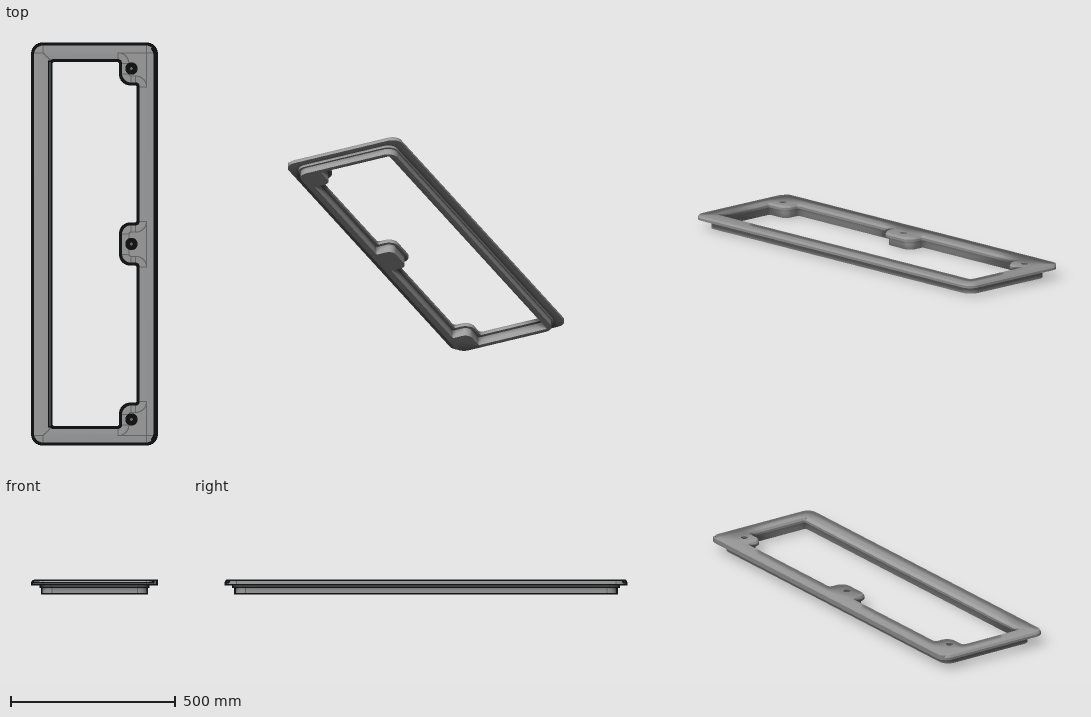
import cadquery as cq
import math

width = 380.0
length = 1219.0
height = 41.0

rim_thickness = 15.0
rim_corner_radius = 33.0
bevel_width = 5.0
bevel_drop = 7.0
left_bevel_width = 10.0
rim_bottom = height - rim_thickness
bevel_start = height - bevel_drop
bevel_angle = math.degrees(math.atan(bevel_width / bevel_drop))

opening_half_x = 130.0
opening_half_y = 555.0
inner_radius = 6.0
pad_depth = 54.0
pad_corner_radius = 33.0
middle_pad_half_length = 63.0
end_pad_length = 71.0
pad_left = opening_half_x - pad_depth
end_pad_edge = opening_half_y - end_pad_length

crown_width = 27.0
crown_drop = 1.0
crown_radius = (crown_width**2 + crown_drop**2) / (2 * crown_drop)
ridge_half_x = opening_half_x + crown_width
ridge_half_y = opening_half_y + crown_width
rim_overlap = 12.0
crown_outer = width / 2 - ridge_half_x + rim_overlap
crown_inner = crown_width + inner_radius

lip_width = 5.0

ledge_inset_x = 25.0
ledge_inset_y = 22.0
ledge_thickness = 7.0
base_inset = 29.0
base_corner_radius = 32.0
base_inner_inset = 11.0
ledge_bottom = rim_bottom - ledge_thickness

insert_radius = 16.0
insert_depth = 24.0
insert_bore_radius = 7.0
insert_bore_depth = 15.0
insert_step_radius = 11.0
insert_step_depth = 5.0
insert_x = 112.0
insert_end_y = 533.0
insert_places = [(insert_x, y) for y in (-insert_end_y, 0, insert_end_y)]


def at_height(z):
    """Horizontal workplane at the given height."""
    return cq.Workplane("XY", origin=(0, 0, z))


def box_between(x_min, x_max, y_min, y_max, bottom, top):
    """Box given by its limits."""
    box = cq.Workplane("XY").box(x_max - x_min, y_max - y_min, top - bottom, centered=False)
    return box.translate((x_min, y_min, bottom))


def rounded_block(size_x, size_y, radius, bottom, top):
    """Block centred on the Z axis with rounded upright corners."""
    return at_height(bottom).rect(size_x, size_y).extrude(top - bottom).edges("|Z").fillet(radius)


def step_toward(start, end, distance):
    """Point at a distance from the start on the way to the end."""
    part = distance / math.dist(start, end)
    return tuple(a + (b - a) * part for a, b in zip(start, end))


def rounded_path(start, corners, end, z):
    """Path at height z through square corners, each given as (point, radius)."""
    path = at_height(z).moveTo(*start)
    points = [start] + [point for point, _ in corners] + [end]
    reached = start
    for before, (corner, radius), after in zip(points, corners, points[2:]):
        arc_start = step_toward(corner, before, radius)
        arc_end = step_toward(corner, after, radius)
        centre = tuple(a + b - c for a, b, c in zip(arc_start, arc_end, corner))
        arc_middle = step_toward(centre, corner, radius)
        if math.dist(reached, arc_start) > inner_radius / 10:
            path = path.lineTo(*arc_start)
        path = path.threePointArc(arc_middle, arc_end)
        reached = arc_end
    return path


def end_pad_corners(growth=0):
    """Corners along the +Y end pad, for an opening grown on all sides."""
    return [
        ((pad_left + growth, opening_half_y + growth), inner_radius),
        ((pad_left + growth, end_pad_edge + growth), pad_corner_radius - growth),
        ((opening_half_x + growth, end_pad_edge + growth), inner_radius),
    ]


def middle_pad_corners(growth=0):
    """Corners along the middle pad, for an opening grown on all sides."""
    half = middle_pad_half_length - growth
    return [
        ((opening_half_x + growth, half), inner_radius),
        ((pad_left + growth, half), pad_corner_radius - growth),
        ((pad_left + growth, -half), pad_corner_radius - growth),
        ((opening_half_x + growth, -half), inner_radius),
    ]


def opening_outline(z, growth=0):
    """Closed outline of the opening, clockwise from the middle of the -X side."""
    left = -opening_half_x - growth
    upper = [((left, opening_half_y + growth), inner_radius)] + end_pad_corners(growth)
    lower = [((x, -y), radius) for (x, y), radius in reversed(upper)]
    start = (left, 0)
    return rounded_path(start, upper + middle_pad_corners(growth) + lower, start, z).close()


def bevelled_opening():
    """Opening through the rim, widening at the top, most of all along the -X side."""
    straight = opening_outline(rim_bottom).extrude(rim_thickness)
    flared = opening_outline(bevel_start).extrude(bevel_drop, taper=-bevel_angle)
    wide_bevel = (
        cq.Workplane("XZ", origin=(-opening_half_x, opening_half_y, bevel_start))
        .lineTo(0, bevel_drop)
        .lineTo(-left_bevel_width, bevel_drop)
        .close()
        .extrude(2 * opening_half_y)
    )
    return straight.union(flared).union(wide_bevel)


def rim_plate(inset, top=height):
    """Rim without its opening, drawn in by the inset."""
    size_x = width - 2 * inset
    size_y = length - 2 * inset
    return rounded_block(size_x, size_y, rim_corner_radius - inset, rim_bottom, top)


def bevelled_plate(inset):
    """Rim plate with a bevel around its top."""
    lower = rim_plate(inset, bevel_start)
    return lower.union(lower.faces(">Z").wires().toPending().extrude(bevel_drop, taper=bevel_angle))


def plus_x_zone():
    """Region of the +X edge, cut off at 45 degrees through the rounded corners."""
    centre_x = width / 2 - rim_corner_radius
    centre_y = length / 2 - rim_corner_radius
    far_x = centre_x + rim_corner_radius
    far_y = centre_y + rim_corner_radius
    corners = [(centre_x, -centre_y), (far_x, -far_y), (far_x, far_y), (centre_x, centre_y)]
    return at_height(rim_bottom).polyline(corners).close().extrude(rim_thickness)


def crown_fall(distance):
    """Fall of the crown at a distance from its ridge."""
    return crown_radius - math.sqrt(crown_radius**2 - distance**2)


def crown_section(ridge_end, along, inner_reach):
    """Arched section at the end of a ridge; its local X points away from the opening."""
    outward = cq.Vector(*along).cross(cq.Vector(0, 0, 1))
    plane = cq.Plane(origin=ridge_end, xDir=outward, normal=cq.Vector(*along).multiply(-1))
    return (
        cq.Workplane(plane)
        .moveTo(-inner_reach, rim_bottom)
        .lineTo(crown_outer, rim_bottom)
        .lineTo(crown_outer, height - crown_fall(crown_outer))
        .radiusArc((-inner_reach, height - crown_fall(inner_reach)), -crown_radius)
        .close()
    )


def crowned_ring():
    """Four arched bars, mitred inside and joined by turned pieces at the outer corners."""
    ridge_corners = [
        (-ridge_half_x, -ridge_half_y, 0),
        (ridge_half_x, -ridge_half_y, 0),
        (ridge_half_x, ridge_half_y, 0),
        (-ridge_half_x, ridge_half_y, 0),
    ]
    directions = [(1, 0, 0), (0, 1, 0), (-1, 0, 0), (0, -1, 0)]
    lengths = [2 * ridge_half_x, 2 * ridge_half_y] * 2
    ring = cq.Workplane("XY")
    for corner, along, bar_length in zip(ridge_corners, directions, lengths):
        bar = crown_section(corner, along, crown_inner).extrude(-bar_length)
        turn = crown_section(corner, along, 0).revolve(90, (0, 0), (0, -1))
        ring = ring.union(bar).union(turn)
    return ring


def pad_wedge(path, start, along):
    """Material above the crown along a pad edge."""
    toward_ridge = cq.Vector(0, 0, 1).cross(cq.Vector(*along))
    plane = cq.Plane(origin=(*start, height), xDir=toward_ridge, normal=along)
    section = (
        cq.Workplane(plane)
        .moveTo(crown_width, 0)
        .radiusArc((0, -crown_drop), -crown_radius)
        .lineTo(0, bevel_drop)
        .lineTo(crown_width, bevel_drop)
        .close()
    )
    return section.sweep(path)


def end_pad_wedge():
    """Wedge along the +Y end pad."""
    start = (pad_left - inner_radius, opening_half_y)
    end = (opening_half_x, end_pad_edge - inner_radius)
    return pad_wedge(rounded_path(start, end_pad_corners(), end, height), start, (1, 0, 0))


def middle_pad_wedge():
    """Wedge along the middle pad."""
    start = (opening_half_x, middle_pad_half_length + inner_radius)
    end = (opening_half_x, -middle_pad_half_length - inner_radius)
    return pad_wedge(rounded_path(start, middle_pad_corners(), end, height), start, (0, -1, 0))


def rim():
    """Crowned flange with flat-topped pads and a lip along the +X edge."""
    zone = plus_x_zone()
    flat = bevelled_plate(0).cut(zone).union(bevelled_plate(lip_width).intersect(zone))
    flat = flat.cut(bevelled_opening())
    body = flat.intersect(crowned_ring())

    pad_start = pad_left - inner_radius
    end_box = box_between(
        pad_start, ridge_half_x, end_pad_edge - inner_radius, ridge_half_y, rim_bottom, height
    )
    middle_reach = middle_pad_half_length + inner_radius
    middle_box = box_between(
        pad_start, ridge_half_x, -middle_reach, middle_reach, rim_bottom, height
    )
    pads = [
        (end_box, end_pad_wedge()),
        (middle_box, middle_pad_wedge()),
        (end_box.mirror("XZ"), end_pad_wedge().mirror("XZ")),
    ]
    for box, wedge in pads:
        body = body.cut(box).union(flat.intersect(box).cut(wedge))

    lip = rim_plate(0).cut(rim_plate(lip_width)).intersect(zone)
    return body.union(lip)


def base():
    """Ledge and narrower foot under the rim, set back from the opening."""
    ledge = rounded_block(
        width - 2 * ledge_inset_x,
        length - 2 * ledge_inset_y,
        base_corner_radius,
        ledge_bottom,
        rim_bottom,
    )
    foot = rounded_block(
        width - 2 * base_inset, length - 2 * base_inset, base_corner_radius, 0, ledge_bottom
    )
    space = opening_outline(0, base_inner_inset).extrude(rim_bottom)
    return ledge.union(foot).cut(space)


def insert_pocket():
    """Blind round hole for an insert, centred on the Z axis."""
    return at_height(height - insert_depth).circle(insert_radius).extrude(insert_depth)


def make_insert(x, y):
    """Round insert with a stepped blind bore, flush with the top of its pad."""
    body = insert_pocket().faces(">Z").workplane()
    body = body.cboreHole(
        2 * insert_bore_radius, 2 * insert_step_radius, insert_step_depth, insert_bore_depth
    )
    return body.translate((x, y, 0))


frame = rim().union(base())
for place_x, place_y in insert_places:
    frame = frame.cut(insert_pocket().translate((place_x, place_y, 0)))

inserts = [make_insert(place_x, place_y) for place_x, place_y in insert_places]

result = cq.Compound.makeCompound([frame.val(), *[insert.val() for insert in inserts]])